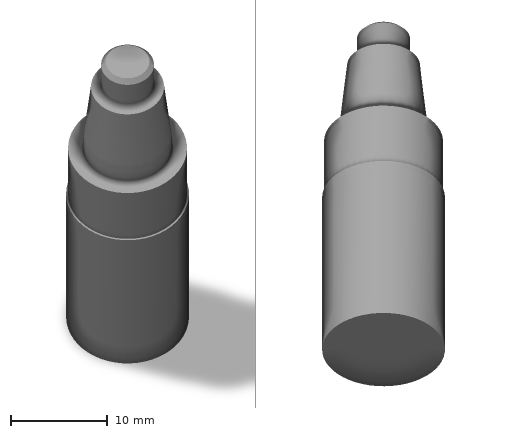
import cadquery as cq
import math

total_height = 40.6
split_height = 19.0
collar_top = 19.6
shank_top = 26.88
taper_base = 29.3
taper_top = 36.62

sleeve_radius = 12.7 / 2
shank_radius = 12.3 / 2
neck_radius = 4.63
taper_top_radius = 3.78
tip_radius = 5.5 / 2

neck_fillet = 0.25
tip_fillet = 0.5
tip_chamfer = 0.5

blend_foot = shank_top + neck_fillet
blend_rise = taper_base - blend_foot
taper_angle = math.atan2(neck_radius - taper_top_radius, taper_top - (blend_foot + taper_base) / 2)
taper_base_radius = neck_radius - blend_rise * math.tan(taper_angle / 2)


def make_sleeve():
    """Plain cylindrical lower body."""
    return cq.Workplane("XY").circle(sleeve_radius).extrude(split_height)


def make_plug():
    """Stepped upper body: collar, shank, tapered nose and chamfered tip, turned about Z."""
    profile = (
        cq.Workplane("XZ")
        .moveTo(0, split_height)
        .lineTo(sleeve_radius, split_height)
        .lineTo(sleeve_radius, collar_top)
        .lineTo(shank_radius, collar_top)
        .lineTo(shank_radius, shank_top)
        .lineTo(neck_radius + neck_fillet, shank_top)
        .radiusArc((neck_radius, blend_foot), neck_fillet)
        .tangentArcPoint((taper_base_radius, taper_base), relative=False)
        .lineTo(taper_top_radius, taper_top)
        .lineTo(tip_radius + tip_fillet, taper_top)
        .radiusArc((tip_radius, taper_top + tip_fillet), tip_fillet)
        .lineTo(tip_radius, total_height - tip_chamfer)
        .lineTo(tip_radius - tip_chamfer, total_height)
        .lineTo(0, total_height)
        .close()
    )
    return profile.revolve(360, (0, 0, 0), (0, 1, 0))


sleeve = make_sleeve()
plug = make_plug()

result = cq.Compound.makeCompound([sleeve.val(), plug.val()])